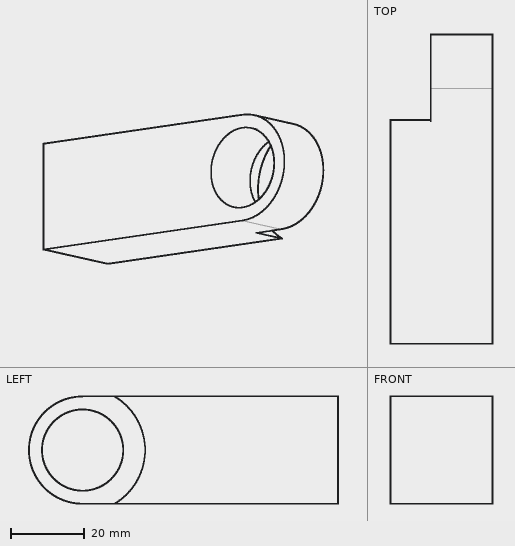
import cadquery as cq

length = 84.6
height = 29.4
width = 28.0
cheek_thickness = 11.0
hole_diameter = 22.2
clearance_radius = 17.1

eye_radius = height / 2
eye_y = length / 2 - eye_radius
front_y = -length / 2
cheek_x = -width / 2
arm_x = cheek_x + cheek_thickness
arm_thickness = width - cheek_thickness
body_length = eye_y - front_y


def block(x_start, thickness):
    """Full-height block running from the front face to the eye centre."""
    return cq.Workplane("XY").box(thickness, body_length, height, centered=False).translate(
        (x_start, front_y, -height / 2)
    )


def eye_cylinder(radius, x_start, thickness):
    """Cylinder along X, concentric with the eye."""
    return cq.Workplane("YZ", origin=(x_start, eye_y, 0)).circle(radius).extrude(thickness)


arm = block(arm_x, arm_thickness).union(eye_cylinder(eye_radius, arm_x, arm_thickness))
arm = arm.cut(eye_cylinder(hole_diameter / 2, arm_x, arm_thickness))

cheek = block(cheek_x, cheek_thickness).cut(
    eye_cylinder(clearance_radius, cheek_x, cheek_thickness)
)

result = arm.union(cheek)